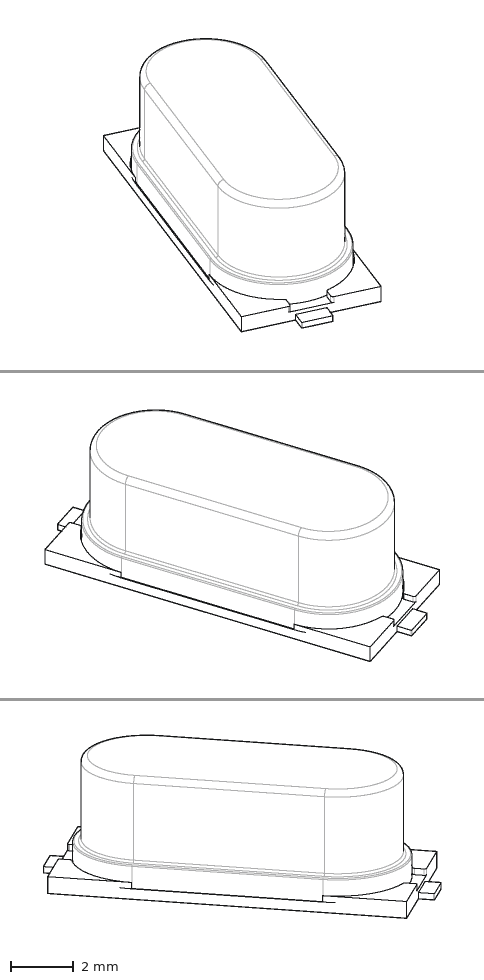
import cadquery as cq

overall_length = 12.7
base_length = 11.66
base_width = 4.8
base_height = 0.57
overall_height = 4.01

end_spacing = 6.2
can_width = 4.19
flange_width = 4.72

flange_top = 1.14
pocket_floor = 0.35
can_top_radius = 0.2
can_foot_radius = 0.08
flange_edge_radius = 0.04

terminal_width = 1.08
terminal_height = 0.22
terminal_corner_radius = 0.03
notch_width = 1.4
notch_corner_radius = 0.08


def racetrack(width, bottom, top):
    """Upright block with straight sides and full-round ends."""
    return (
        cq.Workplane("XY", origin=(0, 0, bottom))
        .slot2D(end_spacing + width, width)
        .extrude(top - bottom)
    )


def box(length, width, bottom, top):
    """Block centred on the vertical axis."""
    return (
        cq.Workplane("XY", origin=(0, 0, bottom))
        .rect(length, width)
        .extrude(top - bottom)
    )


def make_base():
    """Plate with a pocket as wide as itself, open along its straight sides, and end notches."""
    pocket = racetrack(base_width, pocket_floor, base_height)
    notches = box(base_length, notch_width, pocket_floor, base_height)
    base = box(base_length, base_width, 0, base_height).cut(pocket).cut(notches)
    notch_zone = cq.selectors.BoxSelector(
        (-base_length, -notch_width, pocket_floor),
        (base_length, notch_width, base_height),
    )
    return base.edges("|Z").edges(notch_zone).fillet(notch_corner_radius)


def make_terminals():
    """One strip through the bottom of the plate forms the terminal at each end."""
    strip = box(overall_length, terminal_width, 0, terminal_height)
    return strip.edges("|Z").fillet(terminal_corner_radius)


def make_cover():
    """Flange seated on the pocket floor, carrying the round-edged can."""
    flange = racetrack(flange_width, pocket_floor, flange_top)
    flange = flange.faces(">Z").edges().fillet(flange_edge_radius)
    can = racetrack(can_width, flange_top, overall_height)
    can = can.faces(">Z").edges().fillet(can_top_radius)
    foot = cq.selectors.BoxSelector(
        (-overall_length, -can_width / 2 - can_foot_radius, flange_top - can_foot_radius / 2),
        (overall_length, can_width / 2 + can_foot_radius, flange_top + can_foot_radius / 2),
    )
    return flange.union(can).edges(foot).fillet(can_foot_radius)


result = make_base().union(make_terminals()).union(make_cover())